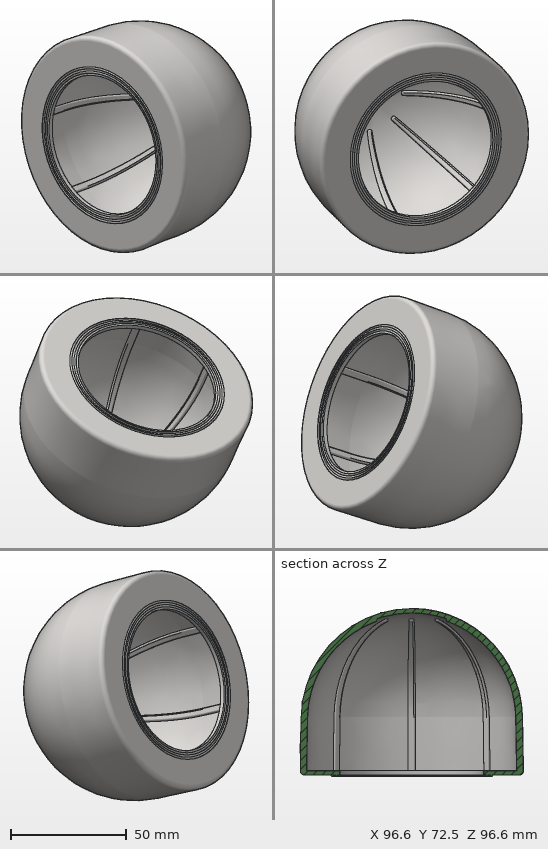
import cadquery as cq
import math


dome_height = 72.0
dome_radius = 47.9
draft_angle = 1.0
wall = 2.0
rim_fillet = 2.0
centre_y = dome_height - dome_radius
cavity_radius = dome_radius - wall

hole_radius = 31.1
bead_radius = 0.5
bead_pitch = 4 * bead_radius
bead_count = 2
first_bead_radius = hole_radius + 3 * bead_radius

rib_count = 8
rib_height = 1.0
rib_edge_fillet = 0.7
rib_tip_radius = 14.9
rib_tip_width = 2.1
rib_tip_round = 0.9
rib_root_width = 3.3
rib_embed = wall / 2


def revolve_about_y(profile):
    return profile.close().revolve(360, (0, 0, 0), (0, 1, 0))


def domed_solid(radius, base_y):
    """Hemisphere about the dome centre, run tangentially into a drafted skirt that ends at base_y."""
    draft = math.radians(draft_angle)
    seam_x = radius * math.cos(draft)
    seam_y = centre_y + radius * math.sin(draft)
    base_x = seam_x + (seam_y - base_y) * math.tan(draft)
    arc_middle = radius * math.sqrt(0.5)
    return revolve_about_y(
        cq.Workplane("XY")
        .moveTo(0, base_y)
        .lineTo(base_x, base_y)
        .lineTo(seam_x, seam_y)
        .threePointArc((arc_middle, centre_y + arc_middle), (0, centre_y + radius))
    )


def make_shell():
    """Dome of even wall thickness with a rounded rim and a round opening in its flat face."""
    outside = domed_solid(dome_radius, 0).faces("<Y").edges().fillet(rim_fillet)
    cavity = domed_solid(cavity_radius, wall)
    opening = cq.Workplane("XZ").circle(hole_radius).extrude(-2 * wall)
    return outside.cut(cavity).cut(opening)


def make_bead(radius):
    """Half-round ring standing proud of the flat face."""
    return revolve_about_y(
        cq.Workplane("XY")
        .moveTo(radius - bead_radius, 0)
        .threePointArc((radius, -bead_radius), (radius + bead_radius, 0))
    )


def make_rib():
    """Rib on the +X side, following the cavity wall from the flat face up to its tip."""
    plan = [
        (rib_tip_radius, -rib_tip_width / 2),
        (dome_radius, -rib_root_width / 2),
        (dome_radius, rib_root_width / 2),
        (rib_tip_radius, rib_tip_width / 2),
    ]
    strip = cq.Workplane("XZ").polyline(plan).close().extrude(-dome_height)
    strip = strip.edges("|Y and <X").fillet(rib_tip_round)
    base_y = wall - rib_embed
    lining_outside = domed_solid(cavity_radius + rib_embed, base_y)
    lining_inside = domed_solid(cavity_radius - rib_height, base_y)
    blade = strip.intersect(lining_outside.cut(lining_inside))
    return blade.faces("%PLANE").edges().fillet(rib_edge_fillet)


result = make_shell()

for index in range(bead_count):
    result = result.union(make_bead(first_bead_radius + index * bead_pitch))

rib = make_rib()
for index in range(rib_count):
    result = result.union(rib.rotate((0, 0, 0), (0, 1, 0), index * 360 / rib_count))